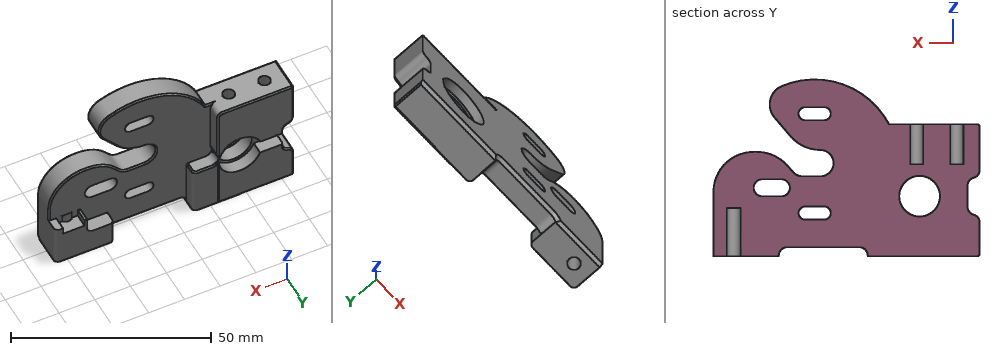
import cadquery as cq
import math

LENGTH = 66.5
HEIGHT = 44.18
BLOCK_DEPTH = 10.0
FOOT_DEPTH = 9.8
PLATE_DEPTH = 6.0
BLOCK_TOP = 33.0
EDGE_CHAMFER = 0.4

BORE_X, BORE_Z = 15.0, 15.0
BORE_DIAMETER = 10.1
FRONT_COUNTERBORE_DIAMETER = 15.0
FRONT_COUNTERBORE_DEPTH = 2.5
BACK_COUNTERBORE_DIAMETER = 11.8
GROOVE_WIDTH = 4.0
GROOVE_DEPTH = 3.5
NOTCH_DEPTH = 3.0
NOTCH_RADIUS = 2.0
NOTCH_FLOOR_HEIGHT = 5.3

EAR_X = 41.2
EAR_RADIUS = 21.0
EAR_Z = HEIGHT - EAR_RADIUS
TIP_RADIUS = 5.0
TIP_ANGLE = math.radians(67)
FLANK_ANGLE = math.radians(49.5)
THROAT_BOTTOM = 20.0
THROAT_HEIGHT = 6.5
THROAT_RADIUS = THROAT_HEIGHT / 2
THROAT_X = 39.75
LOBE_RADIUS = 10.1
LOBE_FLAT = 0.8
LOBE_RIGHT_X = LENGTH - LOBE_RADIUS
LOBE_LEFT_X = LOBE_RIGHT_X - LOBE_FLAT
LOBE_Z = 16.0
LOBE_RAMP_ANGLE = math.radians(48)
RAMP_FILLET = 3.0

RELIEF_LEFT, RELIEF_RIGHT = 28.0, 50.1
RELIEF_HEIGHT = 2.25
RELIEF_RADIUS = 2.0
BOTTOM_CHAMFER = 1.0
TOP_CHAMFER = 0.5
TOP_CHAMFER_END = 27.3

BLOCK_RIGHT = 21.3
BLOCK_CORNER_RADIUS = 1.55
LEFT_FOOT_TOP = 14.2
RELIEF_GROOVE_X = 22.8
RELIEF_GROOVE_RADIUS = 1.9
RELIEF_GROOVE_Z = LEFT_FOOT_TOP + RELIEF_GROOVE_RADIUS
FOOT_CORNER_RADIUS = 1.25
RIGHT_FOOT_LOW_TOP = 7.0
RIGHT_FOOT_HIGH_TOP = 12.0
RIGHT_FOOT_STEP_X = 57.7
RIGHT_FOOT_STEP_FILLET = 1.7
NUT_SLOT_WIDTH = 6.0
NUT_SLOT_DEPTH = 2.0

TOP_HOLE_DIAMETER = 3.2
HOLE_Y = 5.0
TOP_HOLE_XS = (5.7, 15.7)
TOP_HOLE_DEPTH = 10.0
FOOT_HOLE_X = 61.4
FOOT_HOLE_DIAMETER = 3.4

SLOT_SPACING = 24.8
LOWER_SLOT_Z = 10.8
SLOTS = (
    (EAR_X, LOWER_SLOT_Z, 8.0, 3.2),
    (EAR_X, LOWER_SLOT_Z + SLOT_SPACING, 8.0, 3.2),
    (51.9, 17.1, 9.0, 4.2),
)


def polar(x, z, radius, angle):
    """Point at a radius and angle from (x, z)."""
    return (x + radius * math.cos(angle), z + radius * math.sin(angle))


def front_sketch(y=0.0):
    """Workplane with local axes X and Z; extruding by a negative length goes toward +Y."""
    return cq.Workplane("XZ", origin=(0, y, 0))


def box(x0, x1, y0, y1, z0, z1):
    """Box between two limits on each axis."""
    return cq.Workplane("XY").box(x1 - x0, y1 - y0, z1 - z0, centered=False).translate((x0, y0, z0))


def vertical_hole(x, diameter, z0, z1):
    return cq.Workplane("XY", origin=(x, HOLE_Y, z0)).circle(diameter / 2).extrude(z1 - z0)


def make_plate():
    """Thin plate, starting inside the block, with the ear, throat, right lobe and bottom relief."""
    ear_start_x = EAR_X - math.sqrt(EAR_RADIUS**2 - (BLOCK_TOP - EAR_Z) ** 2)
    ear_end = polar(EAR_X, EAR_Z, EAR_RADIUS, TIP_ANGLE)
    tip_x, tip_z = polar(EAR_X, EAR_Z, EAR_RADIUS - TIP_RADIUS, TIP_ANGLE)
    flank_normal = FLANK_ANGLE - math.pi / 2
    tip_end = polar(tip_x, tip_z, TIP_RADIUS, flank_normal)

    throat_top = THROAT_BOTTOM + THROAT_HEIGHT
    across = (tip_end[0] - THROAT_X) * math.cos(flank_normal)
    across += (tip_end[1] - throat_top) * math.sin(flank_normal)
    belly_radius = across / (1 + math.sin(flank_normal))
    belly_z = throat_top + belly_radius
    belly_start = polar(THROAT_X, belly_z, belly_radius, flank_normal)
    belly_middle = polar(THROAT_X, belly_z, belly_radius, (flank_normal - math.pi / 2) / 2)

    lobe_normal = LOBE_RAMP_ANGLE + math.pi / 2
    ramp_end = polar(LOBE_LEFT_X, LOBE_Z, LOBE_RADIUS, lobe_normal)
    corner_x = ramp_end[0] - (ramp_end[1] - THROAT_BOTTOM) / math.tan(LOBE_RAMP_ANGLE)
    fillet_reach = RAMP_FILLET * math.tan(LOBE_RAMP_ANGLE / 2)
    ramp_start = polar(corner_x, THROAT_BOTTOM, fillet_reach, LOBE_RAMP_ANGLE)

    outline = (
        front_sketch()
        .moveTo(BORE_X, 0)
        .lineTo(BORE_X, BLOCK_TOP)
        .lineTo(ear_start_x, BLOCK_TOP)
        .threePointArc((EAR_X, EAR_Z + EAR_RADIUS), ear_end)
        .threePointArc((tip_x + TIP_RADIUS, tip_z), tip_end)
        .lineTo(*belly_start)
        .threePointArc(belly_middle, (THROAT_X, throat_top))
        .threePointArc((THROAT_X - THROAT_RADIUS, THROAT_BOTTOM + THROAT_RADIUS), (THROAT_X, THROAT_BOTTOM))
        .lineTo(corner_x - fillet_reach, THROAT_BOTTOM)
        .tangentArcPoint(ramp_start, relative=False)
        .lineTo(*ramp_end)
        .tangentArcPoint((LOBE_LEFT_X, LOBE_Z + LOBE_RADIUS), relative=False)
        .lineTo(LOBE_RIGHT_X, LOBE_Z + LOBE_RADIUS)
        .tangentArcPoint((LENGTH, LOBE_Z), relative=False)
        .lineTo(LENGTH, 0)
        .close()
    )
    plate = outline.extrude(-PLATE_DEPTH)
    plate = plate.faces(">Y").edges().chamfer(EDGE_CHAMFER)
    return plate.cut(make_relief())


def make_relief():
    """Shallow relief in the bottom edge with rounded upper corners."""
    relief = box(RELIEF_LEFT, RELIEF_RIGHT, 0, BLOCK_DEPTH, -RELIEF_RADIUS, RELIEF_HEIGHT)
    return relief.edges("|Y and >Z").fillet(RELIEF_RADIUS)


def make_notch():
    """Left-edge notch whose ends are S-curves of two equal tangent arcs."""
    half_depth = NOTCH_DEPTH / 2
    arc_height = math.sqrt(NOTCH_RADIUS**2 - (NOTCH_RADIUS - half_depth) ** 2)
    floor = NOTCH_FLOOR_HEIGHT / 2
    middle = floor + arc_height
    mouth = middle + arc_height
    half = (
        front_sketch()
        .moveTo(NOTCH_DEPTH, BORE_Z)
        .lineTo(NOTCH_DEPTH, BORE_Z + floor)
        .tangentArcPoint((half_depth, BORE_Z + middle), relative=False)
        .tangentArcPoint((0, BORE_Z + mouth), relative=False)
        .lineTo(0, BORE_Z)
        .close()
        .extrude(-BLOCK_DEPTH)
    )
    return half.union(half.mirror("XY", (0, 0, BORE_Z)))


def make_relief_groove():
    """Round groove undercutting the block wall, tangent to the top of the left foot."""
    groove = front_sketch().center(RELIEF_GROOVE_X, RELIEF_GROOVE_Z).circle(RELIEF_GROOVE_RADIUS)
    return groove.extrude(-BLOCK_DEPTH)


def make_block():
    """Full-depth block at the left end, with chamfered back and left edges."""
    block = box(0, BLOCK_RIGHT, 0, BLOCK_DEPTH, 0, BLOCK_TOP)
    block = block.edges("|Y and >X and >Z").fillet(BLOCK_CORNER_RADIUS)
    block = block.edges("|Y and <X").chamfer(EDGE_CHAMFER)
    block = block.cut(make_notch()).cut(make_relief_groove())
    return block.faces(">Y").edges().chamfer(EDGE_CHAMFER)


def make_left_foot():
    """Foot beside the block, blended into the relief groove in the block wall."""
    foot = box(BORE_X, RELIEF_LEFT, 0, FOOT_DEPTH, 0, LEFT_FOOT_TOP)
    foot = foot.edges("|Z and >X and >Y").fillet(FOOT_CORNER_RADIUS)
    foot = foot.faces(">Z").edges(">X or >Y or (not (|X or |Y))").chamfer(EDGE_CHAMFER)

    drop = math.sqrt(RELIEF_GROOVE_RADIUS**2 - (RELIEF_GROOVE_X - BLOCK_RIGHT) ** 2)
    wall_angle = math.pi + math.asin(drop / RELIEF_GROOVE_RADIUS)
    arc_middle_angle = (wall_angle + 1.5 * math.pi) / 2
    blend_base = LEFT_FOOT_TOP - EDGE_CHAMFER
    blend = (
        front_sketch()
        .moveTo(BLOCK_RIGHT, blend_base)
        .lineTo(BLOCK_RIGHT, RELIEF_GROOVE_Z - drop)
        .threePointArc(
            polar(RELIEF_GROOVE_X, RELIEF_GROOVE_Z, RELIEF_GROOVE_RADIUS, arc_middle_angle),
            (RELIEF_GROOVE_X, LEFT_FOOT_TOP),
        )
        .lineTo(RELIEF_GROOVE_X, blend_base)
        .close()
        .extrude(-FOOT_DEPTH)
    )
    blend = blend.faces(">Y").edges("not (|X or |Z)").chamfer(EDGE_CHAMFER)
    return foot.union(blend)


def make_right_foot():
    """Stepped foot at the right end, with a nut slot across its upper step."""
    foot = (
        front_sketch()
        .moveTo(RELIEF_RIGHT, 0)
        .lineTo(RELIEF_RIGHT, RIGHT_FOOT_LOW_TOP)
        .lineTo(RIGHT_FOOT_STEP_X - RIGHT_FOOT_STEP_FILLET, RIGHT_FOOT_LOW_TOP)
        .tangentArcPoint((RIGHT_FOOT_STEP_X, RIGHT_FOOT_LOW_TOP + RIGHT_FOOT_STEP_FILLET), relative=False)
        .lineTo(RIGHT_FOOT_STEP_X, RIGHT_FOOT_HIGH_TOP)
        .lineTo(LENGTH, RIGHT_FOOT_HIGH_TOP)
        .lineTo(LENGTH, 0)
        .close()
        .extrude(-FOOT_DEPTH)
    )
    foot = foot.edges("|Z and >Y and (<X or >X)").fillet(FOOT_CORNER_RADIUS)
    slot_left = FOOT_HOLE_X - NUT_SLOT_WIDTH / 2
    slot_right = FOOT_HOLE_X + NUT_SLOT_WIDTH / 2
    slot_floor = RIGHT_FOOT_HIGH_TOP - NUT_SLOT_DEPTH
    return foot.cut(box(slot_left, slot_right, PLATE_DEPTH, FOOT_DEPTH, slot_floor, RIGHT_FOOT_HIGH_TOP))


def make_bottom_chamfer():
    """Cutter for the front chamfer along the bottom edge and around the relief."""
    wedge = (
        cq.Workplane("YZ")
        .polyline([(0, 0), (BOTTOM_CHAMFER, 0), (0, BOTTOM_CHAMFER)])
        .close()
        .extrude(LENGTH)
    )
    left = RELIEF_LEFT - BOTTOM_CHAMFER
    right = RELIEF_RIGHT + BOTTOM_CHAMFER
    top = RELIEF_HEIGHT + BOTTOM_CHAMFER
    bottom = -RELIEF_HEIGHT
    radius = RELIEF_RADIUS + BOTTOM_CHAMFER
    flare = (
        front_sketch()
        .moveTo(left, bottom)
        .lineTo(left, top - radius)
        .tangentArcPoint((left + radius, top), relative=False)
        .lineTo(right - radius, top)
        .tangentArcPoint((right, top - radius), relative=False)
        .lineTo(right, bottom)
        .close()
        .extrude(-BOTTOM_CHAMFER, taper=45)
    )
    return wedge.union(flare)


def make_top_chamfer():
    """Wedge along the block's top front edge, running on under the ear to a slanted end."""
    wedge = (
        cq.Workplane("YZ")
        .polyline([(0, BLOCK_TOP - TOP_CHAMFER), (0, BLOCK_TOP), (TOP_CHAMFER, BLOCK_TOP)])
        .close()
        .extrude(TOP_CHAMFER_END)
    )
    slant_bottom = (TOP_CHAMFER_END - TOP_CHAMFER, BLOCK_TOP - TOP_CHAMFER)
    slanted_end = (
        front_sketch()
        .polyline([(0, BLOCK_TOP), (0, slant_bottom[1]), slant_bottom, (TOP_CHAMFER_END, BLOCK_TOP)])
        .close()
        .extrude(-TOP_CHAMFER)
    )
    return wedge.intersect(slanted_end)


def make_bore():
    """Through bore, counterbored from both faces, with a groove out to the left notch."""
    def cylinder(diameter, y0, y1):
        return front_sketch(y0).center(BORE_X, BORE_Z).circle(diameter / 2).extrude(y0 - y1)

    back_floor = BLOCK_DEPTH - GROOVE_DEPTH
    half_width = GROOVE_WIDTH / 2
    bore = cylinder(BORE_DIAMETER, 0, BLOCK_DEPTH)
    bore = bore.union(cylinder(FRONT_COUNTERBORE_DIAMETER, 0, FRONT_COUNTERBORE_DEPTH))
    bore = bore.union(cylinder(BACK_COUNTERBORE_DIAMETER, back_floor, BLOCK_DEPTH))
    groove = box(0, BORE_X, back_floor, BLOCK_DEPTH, BORE_Z - half_width, BORE_Z + half_width)
    return bore.union(groove)


def cut_slots(body):
    for x, z, length, width in SLOTS:
        body = body.cut(front_sketch().center(x, z).slot2D(length, width).extrude(-PLATE_DEPTH))
    return body


def cut_vertical_holes(body):
    for x in TOP_HOLE_XS:
        body = body.cut(vertical_hole(x, TOP_HOLE_DIAMETER, BLOCK_TOP - TOP_HOLE_DEPTH, BLOCK_TOP))
    return body.cut(vertical_hole(FOOT_HOLE_X, FOOT_HOLE_DIAMETER, 0, RIGHT_FOOT_HIGH_TOP))


body = make_plate()
for portion in (make_block(), make_left_foot(), make_right_foot()):
    body = body.union(portion)
body = body.cut(make_bottom_chamfer())
body = body.cut(make_top_chamfer())
body = body.cut(make_bore())
body = cut_slots(body)
result = cut_vertical_holes(body)